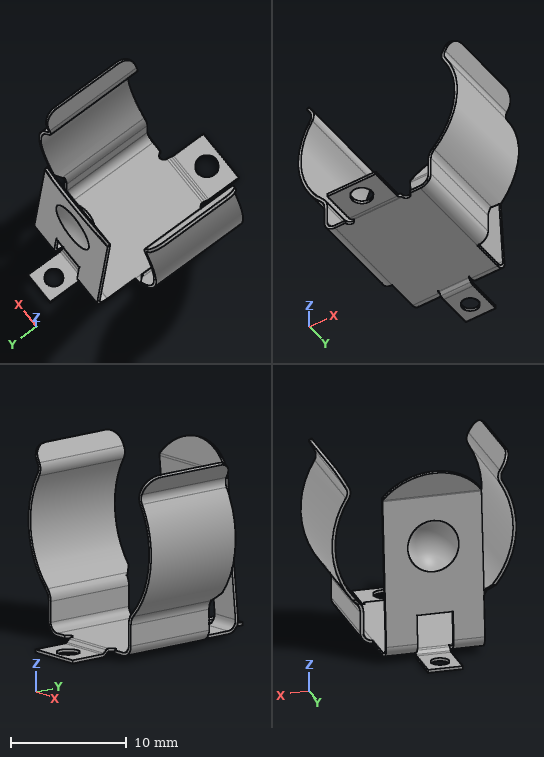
import cadquery as cq
import math

sheet = 0.3
base_width = 8.9
base_length = 11.85
wall_bend_radius = 1.11

arm_depth = 9.48
arm_foot_depth = 8.79
arm_foot_height = 3.8
wall_height = 1.87
waist_radius = 1.2
grip_radius = 8.3
grip_top_angle = 31.7
neck_radius = 0.85
lip_angle = 30
lip_length = 1.67
lip_corner_radius = 1.4

tongue_lean = 5
tongue_length = 13.15
tip_radius = 0.3
tip_lean = 15
tip_height = 2.33
window_width = 3.26
window_top = 3.75

dimple_diameter = 4.97
dimple_height = 1.5
dimple_center_z = 9.78

tab_drop = 0.42
tab_bend_angle = 42
tab_upper_radius = 0.04
tab_lower_radius = 0.28
front_tab_width = 5.05
front_tab_reach = 4.02
front_hole_diameter = 2.0
front_hole_inset = 1.6
rear_tab_start = 11.67
rear_tab_width = 3.15
rear_tab_end = 15.86
rear_hole_diameter = 1.63
rear_hole_inset = 1.63
relief_radius = 0.42


def offset_point(point, angle, distance):
    """Point at a distance from another, in a direction given in degrees."""
    turn = math.radians(angle)
    return (point[0] + distance * math.cos(turn), point[1] + distance * math.sin(turn))


def line(length):
    return ("line", length, 0)


def bend(radius, angle):
    """Bend with the given radius on the traced face; positive angles turn left."""
    return ("bend", radius, angle)


def trace(start, steps):
    """Follow the traced face of the sheet from start, heading along local +x.

    Returns one (middle, end) pair for the start and for each step. Middle and end are
    (point, heading) stations; middle is None except on bends.
    """
    point, heading = start, 0
    stations = [(None, (point, heading))]
    for kind, size, angle in steps:
        middle = None
        if kind == "line":
            point = offset_point(point, heading, size)
        else:
            side = math.copysign(90, angle)
            center = offset_point(point, heading + side, size)
            half_heading = heading + angle / 2
            middle = (offset_point(center, half_heading - side, size), half_heading)
            heading += angle
            point = offset_point(center, heading - side, size)
        stations.append((middle, (point, heading)))
    return stations


def strip_profile(plane, start, steps):
    """Closed outline of the bent sheet, with its thickness to the left of the path."""
    stations = trace(start, steps)

    def inner(station):
        return offset_point(station[0], station[1] + 90, sheet)

    outline = cq.Workplane(plane).moveTo(*start)
    for middle, end in stations[1:]:
        if middle is None:
            outline = outline.lineTo(*end[0])
        else:
            outline = outline.threePointArc(middle[0], end[0])
    outline = outline.lineTo(*inner(stations[-1][1]))
    for index in range(len(stations) - 1, 0, -1):
        middle = stations[index][0]
        target = inner(stations[index - 1][1])
        if middle is None:
            outline = outline.lineTo(*target)
        else:
            outline = outline.threePointArc(inner(middle), target)
    return outline.close()


def make_base():
    base = cq.Workplane().box(base_width, base_length, sheet, centered=(True, False, False))
    slot_length = base_length - rear_tab_start
    slot = cq.Workplane().box(window_width, 2 * slot_length, 2 * sheet)
    slot = slot.translate((0, base_length, sheet / 2))
    relief_x = front_tab_width / 2 + relief_radius
    reliefs = (
        cq.Workplane()
        .pushPoints([(-relief_x, 0), (relief_x, 0)])
        .circle(relief_radius)
        .extrude(sheet)
    )
    return base.cut(slot).cut(reliefs)


def make_arm():
    wall_x = base_width / 2 + wall_bend_radius
    waist_angle = math.degrees(math.acos((wall_x + waist_radius) / (grip_radius + waist_radius)))
    steps = [
        bend(wall_bend_radius, 90),
        line(wall_height),
        bend(waist_radius, -waist_angle),
        bend(grip_radius, waist_angle + grip_top_angle),
        bend(neck_radius, -(grip_top_angle + lip_angle)),
        line(lip_length),
    ]
    arm = strip_profile("XZ", (base_width / 2, 0), steps).extrude(-arm_depth)
    lip_turn = math.radians(lip_angle)
    lip_thickness = cq.Vector(math.cos(lip_turn), 0, -math.sin(lip_turn))
    arm = arm.edges(cq.selectors.ParallelDirSelector(lip_thickness)).fillet(lip_corner_radius)

    step = arm_depth - arm_foot_depth
    foot_relief = (
        cq.Workplane("YZ")
        .moveTo(arm_foot_depth, 0)
        .lineTo(arm_foot_depth, arm_foot_height)
        .lineTo(arm_depth, arm_foot_height + step)
        .lineTo(arm_depth, 0)
        .close()
        .extrude(grip_radius)
    )
    return arm.cut(foot_relief)


def add_dimple(tongue, tongue_foot):
    """Press a hollow spherical cap of sheet thickness into the front face of the tongue.

    tongue_foot is the (point, heading) where the straight part of its back face starts.
    """
    foot, tongue_heading = tongue_foot
    front_start = offset_point(foot, tongue_heading + 90, sheet)
    along = (dimple_center_z - front_start[1]) / math.sin(math.radians(tongue_heading))
    dimple_center = offset_point(front_start, tongue_heading, along)
    sphere_radius = ((dimple_diameter / 2) ** 2 + dimple_height ** 2) / (2 * dimple_height)
    sphere_depth = sphere_radius - dimple_height
    sphere_center = offset_point(dimple_center, tongue_heading - 90, sphere_depth)
    front = offset_point((0, 0), tongue_heading + 90, 1)
    face_plane = cq.Plane(origin=(0, *dimple_center), xDir=(1, 0, 0), normal=(0, *front))
    cap_zone = cq.Workplane(face_plane).circle(dimple_diameter).extrude(dimple_height + sheet)
    dome = cq.Workplane().sphere(sphere_radius).translate((0, *sphere_center)).intersect(cap_zone)
    back_plane = cq.Workplane(face_plane).workplane(offset=-sheet)
    pocket_zone = back_plane.circle(dimple_diameter).extrude(dimple_height + sheet)
    pocket = cq.Workplane().sphere(sphere_radius - sheet).translate((0, *sphere_center))
    pocket = pocket.intersect(pocket_zone)
    return tongue.union(dome).cut(pocket)


def make_tongue():
    steps = [
        bend(wall_bend_radius, 90 + tongue_lean),
        line(tongue_length),
        bend(tip_radius, -(tongue_lean + tip_lean)),
    ]
    start = (base_length, 0)
    tongue = strip_profile("YZ", start, steps).extrude(base_width / 2, both=True)
    window = cq.Workplane().box(window_width, 4 * wall_bend_radius, 2 * window_top)
    tongue = tongue.cut(window.translate((0, base_length, 0)))

    (tip_y, tip_z), tip_heading = trace(start, steps)[-1][1]
    tip_back = offset_point((0, 0), tip_heading - 90, 1)
    tip_plane = cq.Plane(origin=(0, tip_y, tip_z), xDir=(-1, 0, 0), normal=(0, *tip_back))
    tip = (
        cq.Workplane(tip_plane)
        .moveTo(-base_width / 2, 0)
        .threePointArc((0, tip_height), (base_width / 2, 0))
        .close()
        .extrude(-sheet)
    )
    return add_dimple(tongue.union(tip), trace(start, steps)[1][1])


def make_tab(width, reach, hole_diameter, hole_inset):
    """Tab starting at Y = 0 and running along +Y, stepped down by the tab drop."""
    turn = math.radians(tab_bend_angle)
    radius_sum = tab_upper_radius + tab_lower_radius + sheet
    ramp = (tab_drop - radius_sum * (1 - math.cos(turn))) / math.sin(turn)
    step_run = radius_sum * math.sin(turn) + ramp * math.cos(turn)
    steps = [
        bend(tab_upper_radius, -tab_bend_angle),
        line(ramp),
        bend(tab_lower_radius + sheet, tab_bend_angle),
        line(reach - step_run),
    ]
    tab = strip_profile("YZ", (0, 0), steps).extrude(width / 2, both=True)
    hole = (
        cq.Workplane()
        .center(0, reach - hole_inset)
        .circle(hole_diameter / 2)
        .extrude(-tab_drop - sheet, both=True)
    )
    return tab.cut(hole)


arm = make_arm()
front_tab = make_tab(front_tab_width, front_tab_reach, front_hole_diameter, front_hole_inset)
rear_tab = make_tab(rear_tab_width, rear_tab_end - rear_tab_start, rear_hole_diameter, rear_hole_inset)

result = (
    make_base()
    .union(arm)
    .union(arm.mirror("YZ"))
    .union(make_tongue())
    .union(front_tab.rotate((0, 0, 0), (0, 0, 1), 180))
    .union(rear_tab.translate((0, rear_tab_start, 0)))
)